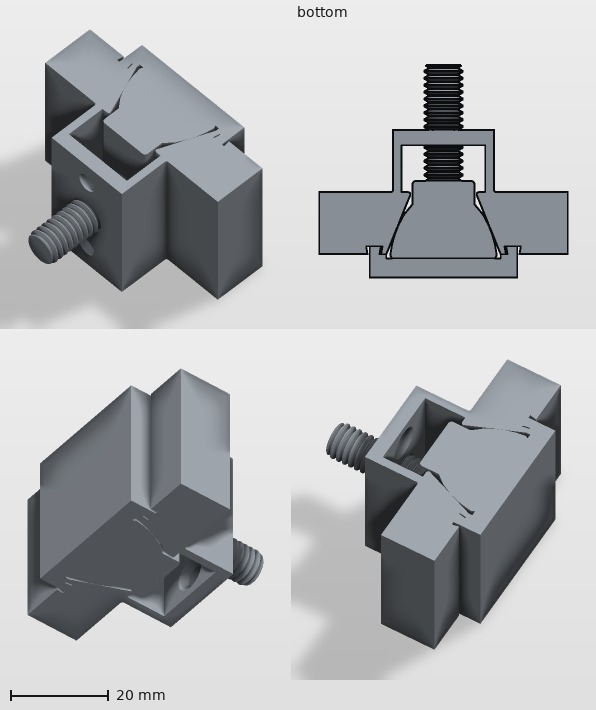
import cadquery as cq
import math


length_z = 31.75
housing_width = 50.8
block_depth = 12.7
channel_depth = 25.4
channel_width = 20.64
cavity_width = 17.06
web_thickness = 3.175
root_fillet = 0.5
lip_fillet = 0.5
wedge_angle = math.radians(22)
mouth_width = 23.3

slot_depth = 1.5875
slot_inner = 12.78
slot_outer = 15.5
dovetail_angle = math.radians(10)

screw_hole_diameter = 8.33
side_hole_diameter = 4.37
side_hole_offset = 10.32
countersink_diameter = 7.44
countersink_angle = 100

cap_width = 30.16
cap_rise = 4.8
recess_height = 0.88
hook_clearance = 0.27

nut_depth = 15.875
nut_stem_width = 12.7
nut_top_width = 21.1
nut_shoulder_y = -10.2
nut_stem_fillet = 0.79
flank_radius = 20.0
flank_contact_depth = 5.2
flank_start_angle = math.radians(6)
flank_end_angle = math.radians(31)

screw_diameter = 7.94
inch = 25.4
threads_per_inch = 18
thread_pitch = inch / threads_per_inch
crest_width = thread_pitch / 8
root_width = thread_pitch / 6
thread_flank_angle = math.radians(30)
overall_depth = 43.47
screw_tip_diameter = 6.8

thread_depth = (thread_pitch - crest_width - root_width) / 2 / math.tan(thread_flank_angle)
screw_tip_y = cap_rise - overall_depth
half_mouth = mouth_width / 2
slot_flare = slot_depth * math.tan(dovetail_angle)
nut_top_y = recess_height
nut_bottom_y = nut_top_y - nut_depth
web_inner_y = web_thickness - channel_depth


def mirrored(points):
    """Close a right-hand outline with its mirror image about X = 0."""
    return points + [(-x, y) for x, y in reversed(points)]


def extrude_along_z(section):
    """Extrude a closed XY section symmetrically about Z = 0."""
    return section.close().extrude(length_z / 2, both=True)


def make_housing():
    lip_tip = half_mouth - block_depth * math.tan(wedge_angle)
    outline = [
        (cavity_width / 2, web_inner_y),
        (cavity_width / 2, -block_depth),
        (lip_tip, -block_depth),
        (half_mouth, 0),
        (slot_inner, 0),
        (slot_inner - slot_flare, -slot_depth),
        (slot_outer + slot_flare, -slot_depth),
        (slot_outer, 0),
        (housing_width / 2, 0),
        (housing_width / 2, -block_depth),
        (channel_width / 2, -block_depth),
        (channel_width / 2, -channel_depth),
    ]
    body = extrude_along_z(cq.Workplane("XY").polyline(mirrored(outline)))
    for side in (-1, 1):
        root = cq.selectors.NearestToPointSelector((side * channel_width / 2, -block_depth, 0))
        body = body.edges("|Z").edges(root).fillet(root_fillet)
        tip = cq.selectors.NearestToPointSelector((side * lip_tip, -block_depth, 0))
        body = body.edges("|Z").edges(tip).fillet(lip_fillet)
    web = body.copyWorkplane(cq.Workplane("ZX", origin=(0, web_inner_y, 0)))
    body = web.circle(screw_hole_diameter / 2).cutBlind(-web_thickness)
    web = body.copyWorkplane(cq.Workplane("ZX", origin=(0, web_inner_y, 0)))
    web = web.pushPoints([(-side_hole_offset, 0), (side_hole_offset, 0)])
    return web.cskHole(side_hole_diameter, countersink_diameter, countersink_angle, web_thickness)


def make_cap():
    hook_inner = slot_inner + hook_clearance
    outline = [
        (half_mouth, recess_height),
        (half_mouth, 0),
        (hook_inner, 0),
        (hook_inner - slot_flare, -slot_depth),
        (cap_width / 2, -slot_depth),
        (cap_width / 2, cap_rise),
    ]
    return extrude_along_z(cq.Workplane("XY").polyline(mirrored(outline)))


def make_nut():
    contact_x = half_mouth - flank_contact_depth * math.tan(wedge_angle)
    centre_x = contact_x - flank_radius * math.cos(wedge_angle)
    centre_y = -flank_contact_depth + flank_radius * math.sin(wedge_angle)

    def flank_point(angle, side):
        x = centre_x + flank_radius * math.cos(angle)
        y = centre_y - flank_radius * math.sin(angle)
        return (side * x, y)

    half_top = nut_top_width / 2
    half_stem = nut_stem_width / 2
    section = (
        cq.Workplane("XY")
        .moveTo(-half_top, nut_top_y)
        .lineTo(half_top, nut_top_y)
        .lineTo(*flank_point(flank_start_angle, 1))
        .threePointArc(flank_point(wedge_angle, 1), flank_point(flank_end_angle, 1))
        .lineTo(half_stem, nut_shoulder_y)
        .lineTo(half_stem, nut_bottom_y)
        .lineTo(-half_stem, nut_bottom_y)
        .lineTo(-half_stem, nut_shoulder_y)
        .lineTo(*flank_point(flank_end_angle, -1))
        .threePointArc(flank_point(wedge_angle, -1), flank_point(flank_start_angle, -1))
    )
    return extrude_along_z(section).edges("|Z and <Y").fillet(nut_stem_fillet)


def make_screw():
    screw_length = nut_bottom_y - screw_tip_y
    tip_chamfer = (screw_diameter - screw_tip_diameter) / 2
    crest_radius = screw_diameter / 2
    root_radius = crest_radius - thread_depth
    thread_count = math.ceil(screw_length / thread_pitch) + 1

    first_crest_y = screw_tip_y - crest_width / 2
    profile = [(0, first_crest_y - crest_width / 2)]
    for index in range(thread_count):
        crest_y = first_crest_y + index * thread_pitch
        root_y = crest_y + thread_pitch / 2
        profile += [
            (crest_radius, crest_y - crest_width / 2),
            (crest_radius, crest_y + crest_width / 2),
            (root_radius, root_y - root_width / 2),
            (root_radius, root_y + root_width / 2),
        ]
    profile.append((0, profile[-1][1]))
    rod = cq.Workplane("XY").polyline(profile).close().revolve(360, (0, 0, 0), (0, 1, 0))

    plane = cq.Plane(origin=(0, screw_tip_y, 0), xDir=(1, 0, 0), normal=(0, 1, 0))
    blank = cq.Workplane(plane).circle(crest_radius).extrude(screw_length)
    return rod.intersect(blank.faces("<Y").chamfer(tip_chamfer))


housing = make_housing()
cap = make_cap()
nut = make_nut()
screw = make_screw()

result = cq.Compound.makeCompound(
    [housing.solids().val(), cap.solids().val(), nut.solids().val(), screw.solids().val()]
)